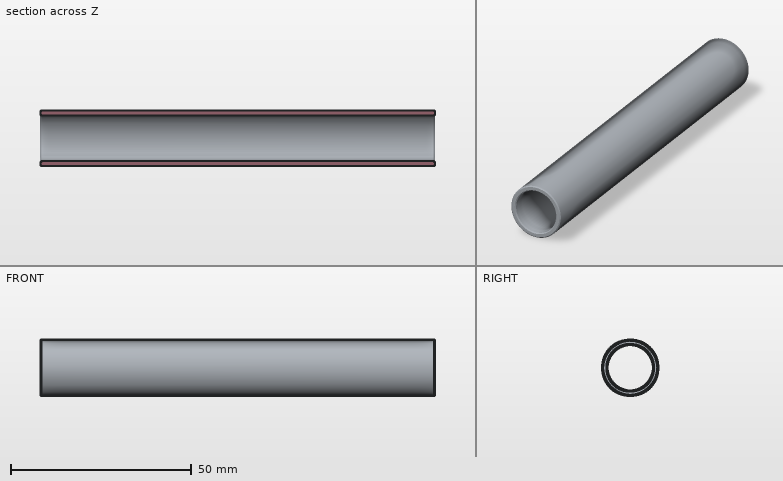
import cadquery as cq

length = 109.38
outer_diameter = 15.62
bore_diameter = 12.6
edge_chamfer = 0.3

tube = (
    cq.Workplane("YZ", origin=(-length / 2, 0, 0))
    .circle(outer_diameter / 2)
    .circle(bore_diameter / 2)
    .extrude(length)
)

result = tube.faces("<X or >X").edges().chamfer(edge_chamfer)